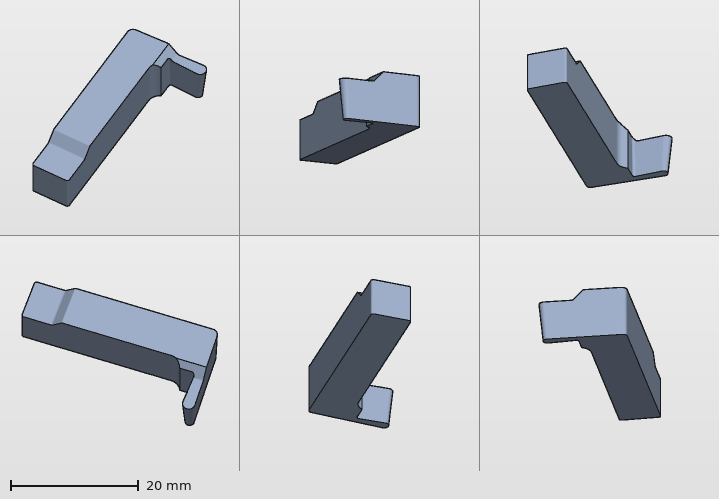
import cadquery as cq
import math

LENGTH = 30.9
REACH = 14.0
HEIGHT = 8.08
STEP_HEIGHT = 6.4

SHANK_WIDTH = 6.6
FRONT_CORNER_RADIUS = 0.4
BACK_CORNER_START_Y = 29.5

RELIEF_RADIUS = 2.0
RELIEF_START_Y = 24.8
NECK_WALL_X = 7.8
NECK_FILLET_RADIUS = 0.4

TIP_RADIUS = 1.0
ARM_FLARE = math.radians(2.25)
SIDE_CLEARANCE = math.radians(2.25)
TIP_CLEARANCE = math.radians(6)

RAMP_DROP = HEIGHT - STEP_HEIGHT
ARM_RAMP_TOP_X = 6.8
LEDGE_RAMP_BOTTOM_Y = 5.05
RAMP_FOOT_RADIUS = 0.5
LEDGE_RAMP_BROW_RADIUS = 0.3
CUT_MARGIN = 1.0

ARM_AXIS_Y = LENGTH - TIP_RADIUS


def outline(z):
    """Plan outline of the whole part at height z, including the leaning faces."""
    depth = STEP_HEIGHT - z
    side_inset = depth * math.tan(SIDE_CLEARANCE)
    tip_inset = depth * math.tan(TIP_CLEARANCE)
    sin_flare = math.sin(ARM_FLARE)
    cos_flare = math.cos(ARM_FLARE)

    center_shift = (tip_inset - side_inset) / (1 + sin_flare)
    radius = TIP_RADIUS - side_inset - center_shift * sin_flare
    center_x = REACH - tip_inset - radius
    tangent_x = center_x - radius * sin_flare
    tangent_dy = radius * cos_flare

    def half_width(x):
        return tangent_dy + (x - tangent_x) * math.tan(ARM_FLARE)

    neck_tangent = NECK_FILLET_RADIUS * math.tan((math.pi / 2 + ARM_FLARE) / 2)
    neck_corner_y = ARM_AXIS_Y - half_width(NECK_WALL_X)
    neck_end_x = NECK_WALL_X + neck_tangent * cos_flare
    neck_end_y = ARM_AXIS_Y - half_width(neck_end_x)

    back_tangent = ARM_AXIS_Y + half_width(0) - BACK_CORNER_START_Y
    back_end_x = back_tangent * cos_flare
    back_end_y = ARM_AXIS_Y + half_width(back_end_x)

    relief_run = NECK_WALL_X - SHANK_WIDTH
    relief_rise = math.sqrt(RELIEF_RADIUS**2 - (RELIEF_RADIUS - relief_run) ** 2)
    corner = FRONT_CORNER_RADIUS

    return (
        cq.Workplane("XY", origin=(0, 0, z))
        .moveTo(corner, 0)
        .lineTo(SHANK_WIDTH - corner, 0)
        .tangentArcPoint((SHANK_WIDTH, corner), relative=False)
        .lineTo(SHANK_WIDTH, RELIEF_START_Y)
        .tangentArcPoint((NECK_WALL_X, RELIEF_START_Y + relief_rise), relative=False)
        .lineTo(NECK_WALL_X, neck_corner_y - neck_tangent)
        .tangentArcPoint((neck_end_x, neck_end_y), relative=False)
        .lineTo(tangent_x, ARM_AXIS_Y - tangent_dy)
        .tangentArcPoint((tangent_x, ARM_AXIS_Y + tangent_dy), relative=False)
        .lineTo(back_end_x, back_end_y)
        .tangentArcPoint((0, BACK_CORNER_START_Y), relative=False)
        .lineTo(0, corner)
        .tangentArcPoint((corner, 0), relative=False)
        .close()
        .val()
    )


def side_tangent(radius):
    """Distance from a 45 degree bend to where a fillet of this radius starts."""
    return radius * math.tan(math.pi / 8)


def arm_clearance():
    """Space above the arm and its ramp, profiled in XZ and running along Y."""
    foot_x = ARM_RAMP_TOP_X + RAMP_DROP
    foot = side_tangent(RAMP_FOOT_RADIUS)
    foot_diagonal = foot * math.cos(math.pi / 4)
    end_x = REACH + CUT_MARGIN
    top_z = HEIGHT + CUT_MARGIN
    return (
        cq.Workplane("XZ")
        .moveTo(ARM_RAMP_TOP_X - CUT_MARGIN, top_z)
        .lineTo(foot_x - foot_diagonal, STEP_HEIGHT + foot_diagonal)
        .tangentArcPoint((foot_x + foot, STEP_HEIGHT), relative=False)
        .lineTo(end_x, STEP_HEIGHT)
        .lineTo(end_x, top_z)
        .close()
        .extrude(-(LENGTH + CUT_MARGIN))
    )


def ledge_clearance():
    """Space above the front ledge and its ramp, profiled in YZ and running along X."""
    foot = side_tangent(RAMP_FOOT_RADIUS)
    foot_diagonal = foot * math.cos(math.pi / 4)
    brow_y = LEDGE_RAMP_BOTTOM_Y + RAMP_DROP
    brow = side_tangent(LEDGE_RAMP_BROW_RADIUS)
    brow_diagonal = brow * math.cos(math.pi / 4)
    top_z = HEIGHT + CUT_MARGIN
    return (
        cq.Workplane("YZ")
        .moveTo(-CUT_MARGIN, STEP_HEIGHT)
        .lineTo(LEDGE_RAMP_BOTTOM_Y - foot, STEP_HEIGHT)
        .tangentArcPoint(
            (LEDGE_RAMP_BOTTOM_Y + foot_diagonal, STEP_HEIGHT + foot_diagonal), relative=False
        )
        .lineTo(brow_y - brow_diagonal, HEIGHT - brow_diagonal)
        .tangentArcPoint((brow_y + brow, HEIGHT), relative=False)
        .lineTo(brow_y + brow, top_z)
        .lineTo(-CUT_MARGIN, top_z)
        .close()
        .extrude(SHANK_WIDTH + CUT_MARGIN)
    )


blank = cq.Workplane(cq.Solid.makeLoft([outline(0), outline(HEIGHT)], True))
result = blank.cut(arm_clearance()).cut(ledge_clearance())